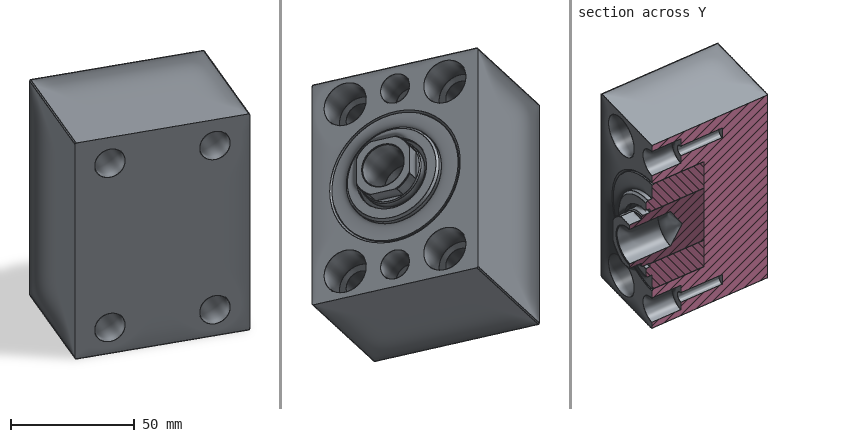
import cadquery as cq
import math

BLOCK_LENGTH = 56.0
BLOCK_WIDTH = 75.0
BLOCK_HEIGHT = 100.0
EDGE_CHAMFER = 0.5

BOLT_DIAMETER = 13.0
BOLT_HEAD_DIAMETER = 19.0
BOLT_HEAD_DEPTH = 14.0
BOLT_SPACING_Y = 45.0
BOLT_SPACING_Z = 76.0

PORT_DIAMETER = 13.0
PORT_DEPTH = 14.0
FEED_DIAMETER = 5.0
FEED_DEPTH = 20.0
PORT_SPACING_Z = 80.0

GLAND_DIAMETER = 57.0
GLAND_DEPTH = 25.0
BORE_CHAMFER = 1.0
FLANGE_DIAMETER = 42.0
FLANGE_THICKNESS = 3.0
FLANGE_CHAMFER = 1.0
WIPER_RECESS_DIAMETER = 31.5
WIPER_RECESS_DEPTH = 2.0

ROD_DIAMETER = 28.0
ROD_CHAMFER = 0.5
COLLAR_LENGTH = 2.0
HEAD_LENGTH = 6.0
HEAD_DIAMETER = 27.0
HEAD_CHAMFER = 0.3
HEAD_FLATS = 24.0
ROD_HOLE_DIAMETER = 18.6
ROD_HOLE_CHAMFER = 0.3
ROD_HOLE_DEPTH = 20.0
DRILL_POINT_ANGLE = 118.0

FLANGE_FACE_X = -FLANGE_THICKNESS
COLLAR_FACE_X = FLANGE_FACE_X - COLLAR_LENGTH
ROD_TIP_X = COLLAR_FACE_X - HEAD_LENGTH


def disc(diameter, start_x, end_x, y=0.0, z=0.0):
    """Cylinder parallel to X between two X positions."""
    face = cq.Workplane("YZ", origin=(start_x, y, z))
    return face.circle(diameter / 2).extrude(end_x - start_x)


def make_housing():
    block = cq.Workplane("XY").box(BLOCK_LENGTH, BLOCK_WIDTH, BLOCK_HEIGHT)
    block = block.translate((BLOCK_LENGTH / 2, 0, 0))
    block = block.edges("|X").chamfer(EDGE_CHAMFER)

    block = block.cut(disc(GLAND_DIAMETER, 0, GLAND_DEPTH))
    block = block.faces("<X").edges("%CIRCLE").chamfer(BORE_CHAMFER)

    for side_y in (-1, 1):
        for side_z in (-1, 1):
            y = side_y * BOLT_SPACING_Y / 2
            z = side_z * BOLT_SPACING_Z / 2
            block = block.cut(disc(BOLT_DIAMETER, 0, BLOCK_LENGTH, y, z))
            block = block.cut(disc(BOLT_HEAD_DIAMETER, 0, BOLT_HEAD_DEPTH, y, z))

    for side_z in (-1, 1):
        z = side_z * PORT_SPACING_Z / 2
        block = block.cut(disc(PORT_DIAMETER, 0, PORT_DEPTH, z=z))
        block = block.cut(disc(FEED_DIAMETER, PORT_DEPTH, PORT_DEPTH + FEED_DEPTH, z=z))
    return block


def make_gland():
    flange = disc(FLANGE_DIAMETER, FLANGE_FACE_X, 0)
    flange = flange.faces("<X").edges().chamfer(FLANGE_CHAMFER)
    gland = disc(GLAND_DIAMETER, 0, GLAND_DEPTH).union(flange)
    gland = gland.cut(disc(ROD_DIAMETER, FLANGE_FACE_X, GLAND_DEPTH))

    recess_floor_x = FLANGE_FACE_X + WIPER_RECESS_DEPTH
    return gland.cut(disc(WIPER_RECESS_DIAMETER, FLANGE_FACE_X, recess_floor_x))


def make_rod():
    shaft = disc(ROD_DIAMETER, COLLAR_FACE_X, GLAND_DEPTH)
    shaft = shaft.faces("<X").edges().chamfer(ROD_CHAMFER)

    head = disc(HEAD_DIAMETER, ROD_TIP_X, COLLAR_FACE_X)
    head = head.faces("<X").edges().chamfer(HEAD_CHAMFER)
    flats = cq.Workplane("YZ", origin=(ROD_TIP_X, 0, 0)).rect(HEAD_FLATS, HEAD_FLATS)
    head = head.intersect(flats.extrude(HEAD_LENGTH))
    rod = shaft.union(head)

    hole_radius = ROD_HOLE_DIAMETER / 2
    shoulder_x = ROD_TIP_X + ROD_HOLE_DEPTH
    point_x = shoulder_x + hole_radius / math.tan(math.radians(DRILL_POINT_ANGLE / 2))
    hole = (
        cq.Workplane("XZ")
        .moveTo(ROD_TIP_X, 0)
        .lineTo(ROD_TIP_X, hole_radius + ROD_HOLE_CHAMFER)
        .lineTo(ROD_TIP_X + ROD_HOLE_CHAMFER, hole_radius)
        .lineTo(shoulder_x, hole_radius)
        .lineTo(point_x, 0)
        .close()
        .revolve(360, (0, 0, 0), (1, 0, 0))
    )
    return rod.cut(hole)


housing = make_housing()
gland = make_gland()
rod = make_rod()

result = cq.Compound.makeCompound([housing.val(), gland.val(), rod.val()])